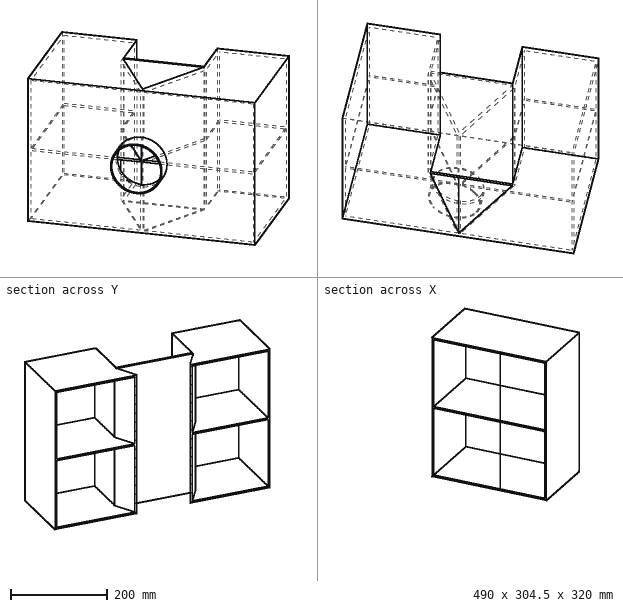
import cadquery as cq
import math

width = 490.0
depth = 265.0
height = 320.0
wall = 5.0

notch_left = -83.5
notch_right = 90.0
notch_floor_y = 162.5

shaft_back_y = notch_floor_y - wall
shaft_tip_y = 9.0

tube_length = 39.5
tube_radius = 55.5
tube_wall = 2.5
bore_radius = tube_radius - tube_wall


def centred_block(x_min, x_max, y_min, y_max, z_size):
    """Block between X and Y limits, centred on Z = 0."""
    block = cq.Workplane("XY").box(x_max - x_min, y_max - y_min, z_size, centered=(False, False, True))
    return block.translate((x_min, y_min, 0))


def centred_prism(points):
    """Full-height vertical prism, centred on Z = 0."""
    return cq.Workplane("XY").polyline(points).close().extrude(height / 2, both=True)


def shaft_casing():
    """Triangular shaft with its sloping walls, ending at the front face."""
    left_angle = math.atan2(-notch_left, shaft_back_y - shaft_tip_y)
    right_angle = math.atan2(notch_right, shaft_back_y - shaft_tip_y)
    outer_left = notch_left - wall / math.cos(left_angle)
    outer_right = notch_right + wall / math.cos(right_angle)
    left_at_front = outer_left + shaft_back_y * math.tan(left_angle)
    right_at_front = outer_right - shaft_back_y * math.tan(right_angle)
    front_points = [(left_at_front, 0), (right_at_front, 0)]
    return centred_prism(front_points + [(outer_right, shaft_back_y), (outer_left, shaft_back_y)])


def air_chamber():
    """Hollow inside the body, open to the tube and split by a level divider."""
    half_inside = width / 2 - wall
    chamber = centred_block(-half_inside, half_inside, wall, depth - wall, height - 2 * wall)
    opening = cq.Workplane("XZ").circle(bore_radius).extrude(-wall)
    notch_casing = centred_block(notch_left - wall, notch_right + wall, shaft_back_y, depth, height)
    divider = centred_block(-width / 2, width / 2, wall, depth, wall)
    return chamber.union(opening).cut(shaft_casing()).cut(notch_casing).cut(divider)


body = centred_block(-width / 2, width / 2, 0, depth, height)
notch = centred_block(notch_left, notch_right, notch_floor_y, depth, height)
shaft = centred_prism([(0, shaft_tip_y), (notch_right, shaft_back_y), (notch_left, shaft_back_y)])
tube = cq.Workplane("XZ").circle(tube_radius).circle(bore_radius).extrude(tube_length)

result = body.cut(notch).cut(shaft).cut(air_chamber()).union(tube)